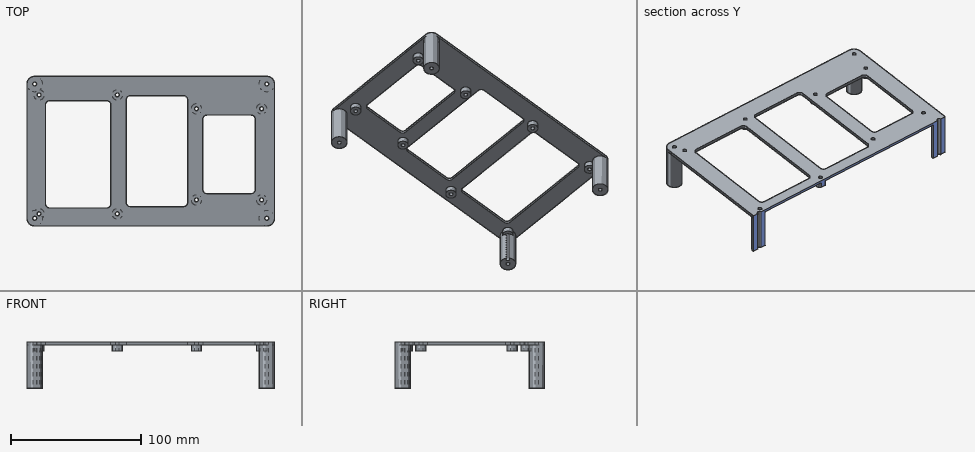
import cadquery as cq

length = 190.0
width = 115.0
total_height = 35.5
plate_thickness = 2.5
plate_bottom = total_height - plate_thickness

leg_diameter = 12.0
corner_radius = leg_diameter / 2

boss_diameter = 8.0
boss_height = 4.5
hole_diameter = 2.8

offset_y = -2.5
left_center = (-55.7, offset_y)
left_spacing = (60.0, 91.2)
right_center = (60.0, offset_y)
right_spacing = (50.0, 70.0)

window_radius = 3.0
middle_center = (4.8, 0)
windows = [
    (left_center, (50.0, 82.0)),
    (middle_center, (47.0, 85.0)),
    (right_center, (40.0, 60.0)),
]


def rectangle_corners(center, spacing):
    """Four corner points of a rectangle."""
    return [
        (center[0] + side_x * spacing[0] / 2, center[1] + side_y * spacing[1] / 2)
        for side_x in (-1, 1)
        for side_y in (-1, 1)
    ]


def cylinders(points, diameter, bottom, height):
    """Upright cylinders standing on the given points."""
    base = cq.Workplane("XY").workplane(offset=bottom)
    return base.pushPoints(points).circle(diameter / 2).extrude(height)


def rounded_slab(center, size, radius):
    """Slab as thick as the plate, with rounded vertical edges."""
    slab = cq.Workplane("XY").box(*size, plate_thickness, centered=(True, True, False))
    return slab.edges("|Z").fillet(radius).translate((*center, plate_bottom))


leg_points = rectangle_corners((0, 0), (length - leg_diameter, width - leg_diameter))
boss_points = (
    rectangle_corners(left_center, left_spacing)
    + rectangle_corners(right_center, right_spacing)
)

plate = rounded_slab((0, 0), (length, width), corner_radius)
for window_center, window_size in windows:
    plate = plate.cut(rounded_slab(window_center, window_size, window_radius))

legs = cylinders(leg_points, leg_diameter, 0, total_height)
bosses = cylinders(boss_points, boss_diameter, plate_bottom - boss_height, boss_height)

holes = cylinders(leg_points + boss_points, hole_diameter, 0, total_height)

result = plate.union(legs).union(bosses).cut(holes).clean()